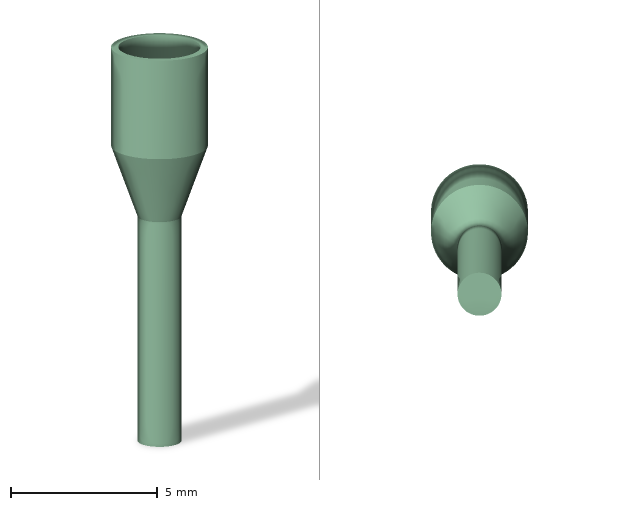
import cadquery as cq

total_length = 14.0
head_diameter = 3.3
head_length = 3.5
stem_diameter = 1.5
stem_length = 8.0
bore_diameter = 2.8
bore_depth = 1.0

head_radius = head_diameter / 2
stem_radius = stem_diameter / 2
head_base = total_length - head_length

body = (
    cq.Workplane("XZ")
    .lineTo(stem_radius, 0)
    .lineTo(stem_radius, stem_length)
    .lineTo(head_radius, head_base)
    .lineTo(head_radius, total_length)
    .lineTo(0, total_length)
    .close()
    .revolve(360, (0, 0), (0, 1))
)

bore = (
    cq.Workplane("XY")
    .workplane(offset=total_length - bore_depth)
    .circle(bore_diameter / 2)
    .extrude(bore_depth)
)

result = body.cut(bore)